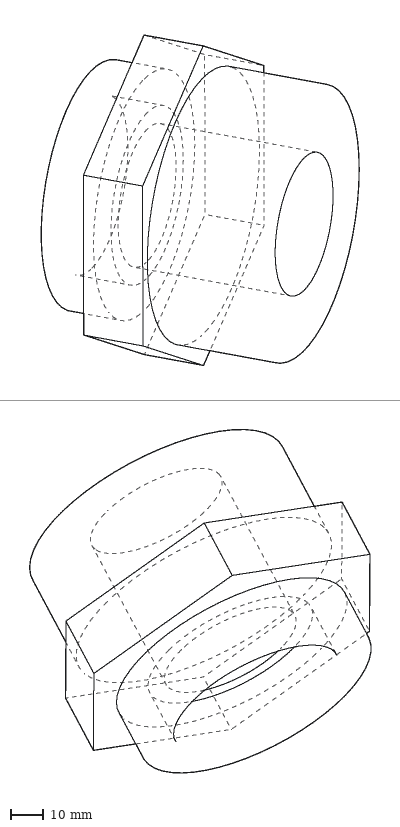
import cadquery as cq

small_collar_length = 18.0
hex_width = 20.0
large_collar_length = 34.0
total_length = small_collar_length + hex_width + large_collar_length

small_collar_diameter = 79.32
large_collar_diameter = 87.88
hex_sides = 6
hex_across_corners = 109.7
corner_up_angle = 90.0
hex_turn = 0.166

socket_diameter = 56.66
socket_depth = 19.0
bore_diameter = 45.33

rim_radius = 0.88


def cylinder_along_x(start, length, diameter):
    return cq.Workplane("YZ", origin=(start, 0, 0)).circle(diameter / 2).extrude(length)


def make_small_collar():
    collar = cylinder_along_x(0, small_collar_length, small_collar_diameter)
    return collar.faces("<X").edges().fillet(rim_radius)


def make_hexagon():
    plane = cq.Workplane("YZ", origin=(small_collar_length, 0, 0))
    hexagon = plane.polygon(hex_sides, hex_across_corners).extrude(hex_width)
    return hexagon.rotate((0, 0, 0), (1, 0, 0), corner_up_angle + hex_turn)


def make_large_collar():
    start = small_collar_length + hex_width
    collar = cylinder_along_x(start, large_collar_length, large_collar_diameter)
    return collar.faces(">X").edges().fillet(rim_radius)


def cut_stepped_bore(body):
    body = body.cut(cylinder_along_x(0, total_length, bore_diameter))
    body = body.cut(cylinder_along_x(0, socket_depth, socket_diameter))
    socket_rim = body.faces("<X").edges(cq.selectors.RadiusNthSelector(0))
    return socket_rim.fillet(rim_radius)


body = make_small_collar().union(make_hexagon()).union(make_large_collar())
result = cut_stepped_bore(body)